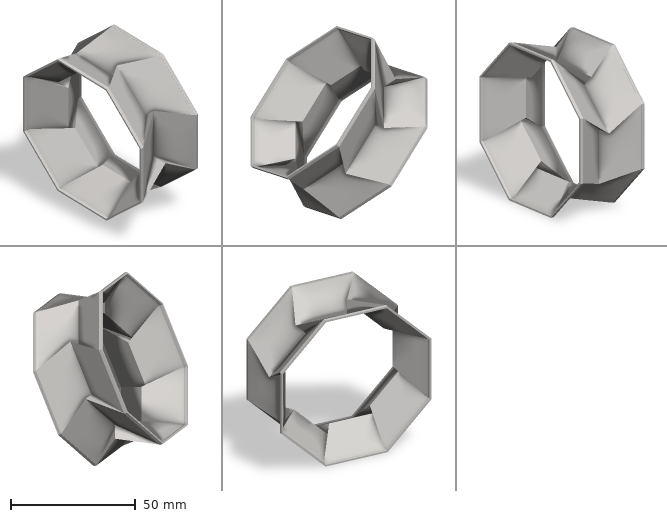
import cadquery as cq
import math

SIDES = 8
STEP = 2 * math.pi / SIDES
HALF_SIDE_RATIO = math.tan(STEP / 2)

WIDTH = 32.4
RIM_APOTHEM = 33.4
RIM_DEPTH = 1.4

WALL = 0.6
FOOT_APOTHEM = 33.3
WAIST_APOTHEM = 24.6
PLEAT_OFFSET = 3.7

foot_y = WIDTH / 2 - RIM_DEPTH

panel_slope = (FOOT_APOTHEM - WAIST_APOTHEM) / foot_y
pleat_slope = (FOOT_APOTHEM * HALF_SIDE_RATIO - PLEAT_OFFSET) / foot_y

panel_shift = WALL * math.hypot(1, panel_slope)
pleat_shift = WALL * math.hypot(1, pleat_slope)

bore_apothem = FOOT_APOTHEM - panel_shift

valley_length = (pleat_shift - panel_shift * HALF_SIDE_RATIO) / (
    pleat_slope - panel_slope * HALF_SIDE_RATIO
)


def turned(x, y, z, index):
    """Point turned about the Y axis by a whole number of octagon sides."""
    angle = index * STEP
    return cq.Vector(
        x * math.cos(angle) - z * math.sin(angle),
        y,
        x * math.sin(angle) + z * math.cos(angle),
    )


def octagon_prism(apothem, depth, start_y):
    corner_radius = apothem / math.cos(STEP / 2)
    corners = [
        (corner_radius * math.cos((i + 0.5) * STEP), corner_radius * math.sin((i + 0.5) * STEP))
        for i in range(SIDES)
    ]
    return cq.Workplane("XZ", origin=(0, start_y, 0)).polyline(corners).close().extrude(-depth)


def flat_face(points):
    return cq.Face.makeFromWires(cq.Wire.makePolygon(points, close=True))


def pleated_solid(foot_apothem, waist_apothem, pleat_offset, valley):
    """Solid bounded by sloping panels joined by folded-back triangular pleats."""
    apex_y = foot_y - valley
    apex_apothem = foot_apothem - panel_slope * valley
    fold_x = waist_apothem - pleat_offset / math.sin(STEP)

    def corner(apothem, y, index):
        return turned(-apothem * HALF_SIDE_RATIO, y, -apothem, index)

    faces = []
    for side in (-1, 1):
        foot = [corner(foot_apothem, side * foot_y, i) for i in range(SIDES)]
        faces.append(flat_face(foot))
        for i in range(SIDES):
            following = (i + 1) % SIDES
            apex = corner(apex_apothem, side * apex_y, i)
            next_apex = corner(apex_apothem, side * apex_y, following)
            waist_start = turned(-pleat_offset, 0, -waist_apothem, i)
            next_waist_start = turned(-pleat_offset, 0, -waist_apothem, following)
            fold = turned(fold_x, 0, -waist_apothem, i)
            panel = [apex, waist_start, fold, next_apex]
            if valley > 0:
                panel += [foot[following], foot[i]]
            faces.append(flat_face(panel))
            faces.append(flat_face([next_apex, fold, next_waist_start]))
    return cq.Workplane(cq.Solid.makeSolid(cq.Shell.makeShell(faces)).fix())


outside = pleated_solid(FOOT_APOTHEM, WAIST_APOTHEM, PLEAT_OFFSET, 0)
inside = pleated_solid(
    bore_apothem,
    WAIST_APOTHEM - panel_shift,
    PLEAT_OFFSET + pleat_shift,
    valley_length,
)
result = outside.cut(inside)

for rim_start in (-WIDTH / 2, foot_y):
    rim = octagon_prism(RIM_APOTHEM, RIM_DEPTH, rim_start)
    bore = octagon_prism(bore_apothem, RIM_DEPTH, rim_start)
    result = result.union(rim.cut(bore))